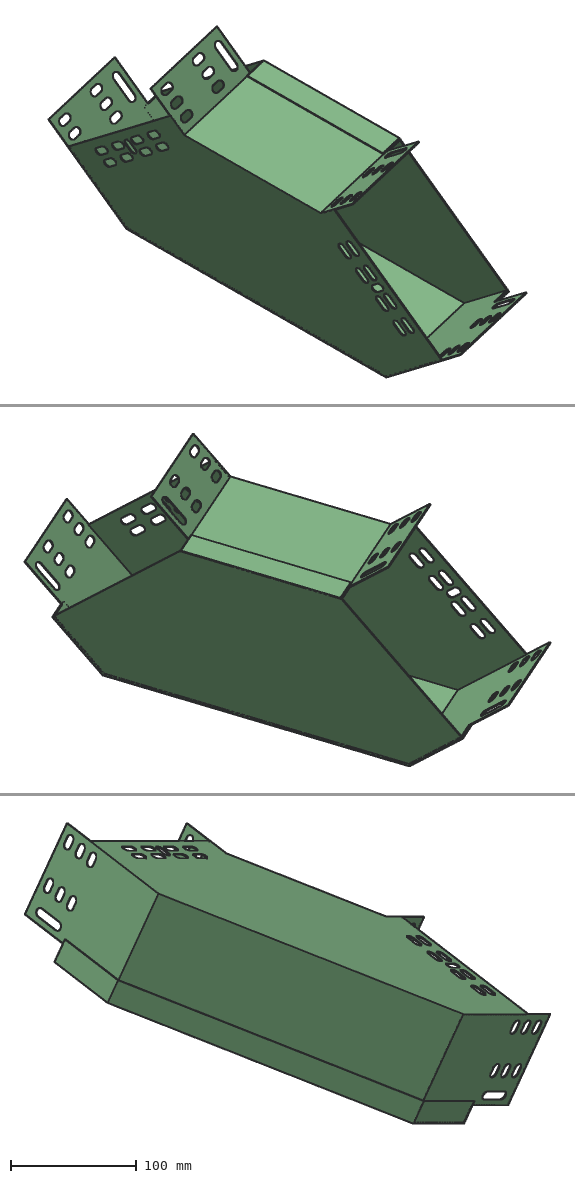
import cadquery as cq
import math


sheet = 1.0
tray_width = 151.9
tab_height = 84.6
total_depth = 101.1
inner_run = 138.8
inner_arm = 46.7
tab_length = 27.5
lip_width = 21.0
bend_angle = 45.0
tilt_y = -1.5
tilt_z = 1.3

small_slot_length = 12.5
small_slot_width = 7.0
tab_slot_pitch = 13.7
tab_slot_rows = (12.2, 52.5)
tab_slot_from_tip = 23.0
long_slot_length = 28.5
long_slot_width = 7.5
long_slot_height = 75.5
plate_slot_length = 15.0
plate_slot_width = 7.0
plate_slot_rows = (11.6, 23.5)
plate_slot_offsets = (-38.5, -14.1, 14.1, 38.5)
cross_slot_length = 14.0
cross_slot_from_end = 15.5

half_turn = math.tan(math.radians(bend_angle / 2))
arm_x = math.cos(math.radians(bend_angle))
arm_z = math.sin(math.radians(bend_angle))
outer_run = inner_run + 2 * tray_width * half_turn
outer_arm = inner_arm + tray_width * half_turn


def inner_corner(offset):
    """Right-hand inner bend, moved outwards by offset from the tray's outer faces."""
    return inner_run / 2 - offset * half_turn, tray_width + offset


def outer_corner(offset):
    """Right-hand outer bend, moved outwards by offset from the tray's outer faces."""
    return outer_run / 2 + offset * half_turn, -offset


def arm_point(from_tip, from_outer):
    """Point on the right arm: distance back from the tip and in from the outer face."""
    along = outer_arm - from_tip
    return (outer_run / 2 + along * arm_x - from_outer * arm_z,
            along * arm_z + from_outer * arm_x)


def prism(right_half, y_start, y_end):
    """Extrude along Y the outline made of right_half and its mirror image."""
    left_half = [(-x, z) for x, z in reversed(right_half)]
    profile = cq.Workplane("XZ", origin=(0, y_start, 0)).polyline(right_half + left_half).close()
    return profile.extrude(y_start - y_end)


def bend_outline(offset):
    """Right half of the bend's outline out to the tab tips, from bottom to top."""
    return [
        outer_corner(offset),
        arm_point(0, -offset),
        arm_point(0, tray_width + offset),
        inner_corner(offset),
    ]


def covered_outline(offset):
    """Right half of the part of the bend under the cover, cut square at the inner bend."""
    return [
        outer_corner(offset),
        arm_point(inner_arm - offset * half_turn, -offset),
        inner_corner(offset),
    ]


def on_right_arm(body):
    """Move a body from arm axes (X back from tip, Z in from the outer face) to the right arm."""
    tip_x, tip_z = arm_point(0, 0)
    turned = body.mirror("YZ").rotate((0, 0, 0), (0, 1, 0), -bend_angle)
    return turned.translate((tip_x, 0, tip_z))


def slots_on_face(plane, start, places, length, width, angle, depth):
    """Straight slots cut from a plane through start, one at each place."""
    face = cq.Workplane(plane, origin=start)
    return face.pushPoints(places).slot2D(length, width, angle).extrude(depth)


def tab_slots():
    """Slots through both tabs of one arm, in arm axes."""
    small_places = [
        (tab_slot_from_tip + step * tab_slot_pitch, height)
        for step in (-1, 0, 1)
        for height in tab_slot_rows
    ]
    long_place = (tab_slot_from_tip, long_slot_height)
    start = (0, 0, -sheet)
    depth = tray_width + 2 * sheet
    small_slots = slots_on_face("XY", start, small_places, small_slot_length, small_slot_width, 90, depth)
    long_slot = slots_on_face("XY", start, [long_place], long_slot_length, long_slot_width, 0, depth)
    return small_slots.union(long_slot)


def plate_slots():
    """Slots through the front plate near the end of one arm, in arm axes."""
    centre = tray_width / 2
    places = [
        (tab_length + row, centre + offset)
        for row in plate_slot_rows
        for offset in plate_slot_offsets
    ]
    cross_place = (tab_length + cross_slot_from_end, centre)
    start = (0, 2 * sheet, 0)
    depth = 4 * sheet
    slots = slots_on_face("XZ", start, places, plate_slot_length, plate_slot_width, 90, depth)
    cross_slot = slots_on_face("XZ", start, [cross_place], cross_slot_length, plate_slot_width, 0, depth)
    return slots.union(cross_slot)


def plate_end_gap():
    """Opening that stops the front plate short of the tab tips, in arm axes."""
    gap = cq.Workplane("XY").box(2 * tab_length, 4 * sheet, tray_width - 2 * sheet)
    return gap.translate((0, 0, tray_width / 2))


def make_tray():
    """Front plate with a folded wall on each side; the wall ends form the tabs."""
    wall_height = total_depth - sheet
    tray = prism(bend_outline(0), 0, tab_height)
    tray = tray.union(prism(covered_outline(0), 0, wall_height))
    tray = tray.cut(prism(bend_outline(-sheet), sheet, wall_height))
    for cutter in (plate_end_gap(), tab_slots(), plate_slots()):
        right_cutter = on_right_arm(cutter)
        tray = tray.cut(right_cutter).cut(right_cutter.mirror("YZ"))
    return tray


def make_cover():
    """Back plate with a lip over the tray walls; it ends square to the arms at the inner bends."""
    cover = prism(covered_outline(sheet), total_depth - lip_width, total_depth)
    return cover.cut(prism(bend_outline(0), 0, total_depth - sheet))


def tilted(body):
    """Turn a body to the attitude of the whole part."""
    leaned = body.rotate((0, 0, 0), (0, 1, 0), tilt_y)
    return leaned.rotate((0, 0, 0), (0, 0, 1), tilt_z)


tray = tilted(make_tray())
cover = tilted(make_cover())

result = cq.Compound.makeCompound([tray.val(), cover.val()])